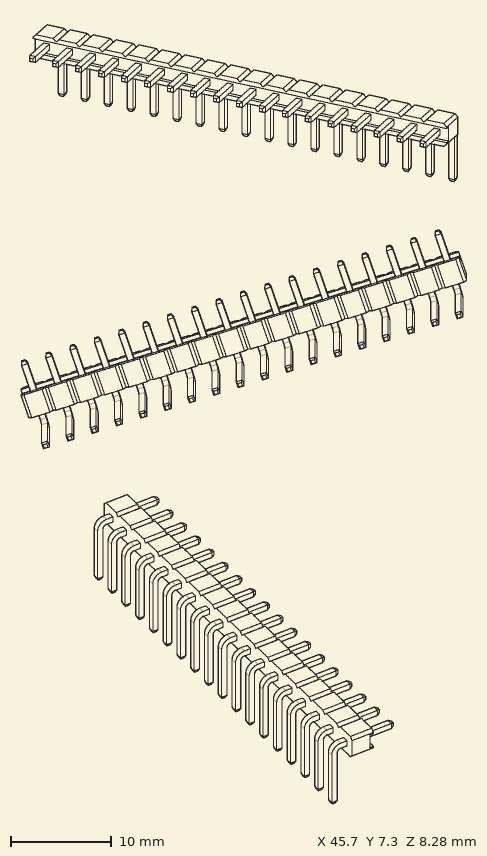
import cadquery as cq

pin_count = 18
length = 45.7
pitch = length / pin_count

body_depth = 2.5
body_height = pitch
chamfer = 0.3
groove_height = 1.55
groove_depth = 0.4

pin_width = 0.65
pin_front_reach = 3.0
pin_back_reach = 1.8
total_height = 8.28
bend_inner_radius = 0.4
tip_length = 0.3
tip_width = 0.35

front_face = -body_depth / 2
back_face = body_depth / 2
front_tip = front_face - pin_front_reach
bottom_tip = body_height / 2 - total_height
drop_leg_y = back_face + pin_back_reach - pin_width / 2
bend_radius = bend_inner_radius + pin_width / 2

pin_xs = [(i + 0.5) * pitch - length / 2 for i in range(pin_count)]


def make_segment(x):
    """One octagonal block of the body, running the full body depth."""
    return (
        cq.Workplane("XY")
        .box(pitch, body_depth, body_height)
        .edges("|Y")
        .chamfer(chamfer)
        .translate((x, 0, 0))
    )


def make_body():
    """Row of blocks with one long groove along the front face."""
    body = make_segment(pin_xs[0])
    for x in pin_xs[1:]:
        body = body.union(make_segment(x))
    groove = cq.Workplane("XY").box(length, groove_depth, groove_height)
    return body.cut(groove.translate((0, front_face + groove_depth / 2, 0)))


def make_tip(plane):
    """Square taper that narrows along the normal of the plane."""
    return (
        cq.Workplane(plane)
        .rect(pin_width, pin_width)
        .workplane(offset=tip_length)
        .rect(tip_width, tip_width)
        .loft(ruled=True)
    )


def make_pin():
    """Bent square pin at X = 0 with a tapered tip on each leg."""
    front_shoulder = front_tip + tip_length
    bottom_shoulder = bottom_tip + tip_length
    path = (
        cq.Workplane("YZ")
        .moveTo(front_shoulder, 0)
        .lineTo(drop_leg_y - bend_radius, 0)
        .tangentArcPoint((drop_leg_y, -bend_radius), relative=False)
        .lineTo(drop_leg_y, bottom_shoulder)
    )
    shaft = cq.Workplane("XZ", origin=(0, front_shoulder, 0)).rect(pin_width, pin_width).sweep(path)
    front_taper = make_tip(cq.Plane.named("XZ", origin=(0, front_shoulder, 0)))
    bottom_plane = cq.Plane(origin=(0, drop_leg_y, bottom_shoulder), xDir=(1, 0, 0), normal=(0, 0, -1))
    return shaft.union(front_taper).union(make_tip(bottom_plane))


pin = make_pin()
result = make_body()
for pin_x in pin_xs:
    result = result.union(pin.translate((pin_x, 0, 0)))